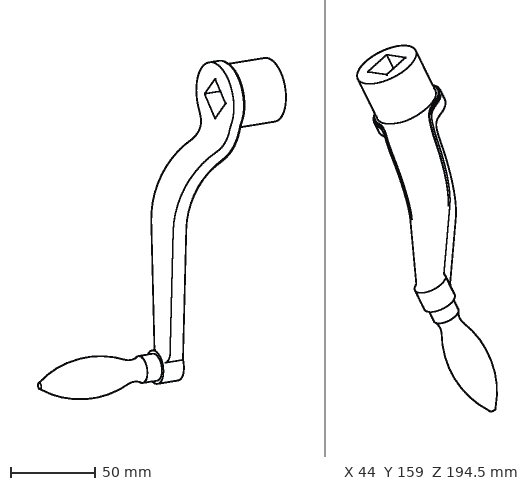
import cadquery as cq
import math

head_radius = 22.0
tube_radius = 19.2
hole_half_diagonal = 12.2

head_front_y = -37.7
head_thickness = 8.2
rear_step_depth = 1.4
rear_step_inset = 1.2
arm_front_y = -74.2
arm_thickness = 9.1
bend_top_z = -15.7
bend_bottom_z = -73.5
upper_bend_radius = 13.6

boss_z = -160.0
arm_half_width_at_hub = 16.3
arm_half_width_at_boss = 8.7
neck_radius = 29.1

boss_radius = 10.1
boss_front_y = -79.3
boss_fillet = 3.1
collar_radius = 8.2
collar_front_y = -89.2
cove_start_radius = 8.0
waist_y = -94.8
waist_radius = 6.6
grip_start_y = -99.3
grip_start_radius = 7.4
grip_widest_y = -124.4
grip_radius = 12.5
grip_end_y = -157.8
grip_end_radius = 2.5
tip_y = -159.0
tip_radius = 2.0


def cylinder_y(radius, rear_y, front_y, z):
    """Cylinder along Y from rear_y forward to front_y."""
    return cq.Workplane("XZ", origin=(0, rear_y, z)).circle(radius).extrude(rear_y - front_y)


def bend_points(start_y, end_y, upper_radius):
    """Middle of upper arc, inflection, middle of lower arc and end of an S-bend."""
    step = start_y - end_y
    drop = bend_top_z - bend_bottom_z
    angle = 2 * math.atan2(step, drop)
    lower_radius = drop / math.sin(angle) - upper_radius

    def on_upper(turn):
        return (start_y - upper_radius * (1 - math.cos(turn)), bend_top_z - upper_radius * math.sin(turn))

    def on_lower(turn):
        return (end_y + lower_radius * (1 - math.cos(turn)), bend_bottom_z + lower_radius * math.sin(turn))

    return on_upper(angle / 2), on_upper(angle), on_lower(angle / 2), (end_y, bend_bottom_z)


def arm_side_solid(thickness_at_head):
    """Arm side profile, extruded wider than the arm."""
    head_rear_y = head_front_y + thickness_at_head
    arm_rear_y = arm_front_y + arm_thickness
    front = bend_points(head_front_y, arm_front_y, upper_bend_radius)
    rear = bend_points(head_rear_y, arm_rear_y, upper_bend_radius + thickness_at_head)
    return (
        cq.Workplane("YZ")
        .moveTo(head_front_y, head_radius)
        .lineTo(head_front_y, bend_top_z)
        .threePointArc(front[0], front[1])
        .threePointArc(front[2], front[3])
        .lineTo(arm_front_y, boss_z)
        .lineTo(arm_rear_y, boss_z)
        .lineTo(*rear[3])
        .threePointArc(rear[2], rear[1])
        .threePointArc(rear[0], (head_rear_y, bend_top_z))
        .lineTo(head_rear_y, head_radius)
        .close()
        .extrude(head_radius, both=True)
    )


def arm_outline_solid(inset=0):
    """Outline of head, neck and tapered arm, moved inward by inset and extruded past the arm."""
    outline_head_radius = head_radius - inset
    outline_neck_radius = neck_radius + inset
    hub_half_width = arm_half_width_at_hub - inset
    boss_half_width = arm_half_width_at_boss - inset
    taper = math.atan2(hub_half_width - boss_half_width, -boss_z)
    centre_distance = outline_head_radius + outline_neck_radius
    side_distance = hub_half_width * math.cos(taper)
    centre_angle = -math.acos((side_distance + outline_neck_radius) / centre_distance) - taper
    centre_x = centre_distance * math.cos(centre_angle)
    centre_z = centre_distance * math.sin(centre_angle)

    def on_neck(angle):
        x = centre_x - outline_neck_radius * math.cos(angle)
        z = centre_z - outline_neck_radius * math.sin(angle)
        return (x, z)

    head_end = (outline_head_radius * math.cos(centre_angle), outline_head_radius * math.sin(centre_angle))
    neck_mid = on_neck((centre_angle - taper) / 2)
    neck_end = on_neck(-taper)

    def mirrored(point):
        return (-point[0], point[1])

    return (
        cq.Workplane("XZ")
        .moveTo(*mirrored(head_end))
        .threePointArc((0, outline_head_radius), head_end)
        .threePointArc(neck_mid, neck_end)
        .lineTo(boss_half_width, boss_z)
        .lineTo(-boss_half_width, boss_z)
        .lineTo(*mirrored(neck_end))
        .threePointArc(mirrored(neck_mid), mirrored(head_end))
        .close()
        .extrude(-boss_front_y)
    )


def boss():
    """Boss cylinder with a concave flare over the arm's front face."""
    cylinder = cylinder_y(boss_radius, arm_front_y + arm_thickness, boss_front_y, boss_z)
    flare_radius = boss_radius + boss_fillet
    diagonal = boss_fillet * (1 - math.sqrt(0.5))
    flare = (
        cq.Workplane("XY")
        .moveTo(0, arm_front_y)
        .lineTo(flare_radius, arm_front_y)
        .threePointArc(
            (boss_radius + diagonal, arm_front_y - diagonal),
            (boss_radius, arm_front_y - boss_fillet),
        )
        .lineTo(0, arm_front_y - boss_fillet)
        .close()
        .revolve(360, (0, 0, 0), (0, 1, 0))
        .translate((0, 0, boss_z))
    )
    return cylinder.union(flare.intersect(arm_outline_solid()))


def handle():
    """Turned handle: collar, cove, barrel-shaped grip and small tip."""
    return (
        cq.Workplane("XY")
        .moveTo(0, boss_front_y)
        .lineTo(collar_radius, boss_front_y)
        .lineTo(collar_radius, collar_front_y)
        .lineTo(cove_start_radius, collar_front_y)
        .threePointArc((waist_radius, waist_y), (grip_start_radius, grip_start_y))
        .threePointArc((grip_radius, grip_widest_y), (grip_end_radius, grip_end_y))
        .lineTo(tip_radius, tip_y)
        .lineTo(0, tip_y)
        .close()
        .revolve(360, (0, 0, 0), (0, 1, 0))
        .translate((0, 0, boss_z))
    )


tube = cylinder_y(tube_radius, 0, head_front_y, 0)
square_hole = (
    cq.Workplane("XZ")
    .polygon(4, 2 * hole_half_diagonal)
    .extrude(-head_front_y)
)

base_arm = arm_side_solid(head_thickness - rear_step_depth).intersect(arm_outline_solid())
rear_land = arm_side_solid(head_thickness).intersect(arm_outline_solid(rear_step_inset))
arm = base_arm.union(rear_land)
result = arm.union(tube).union(boss()).union(handle()).cut(square_hole)